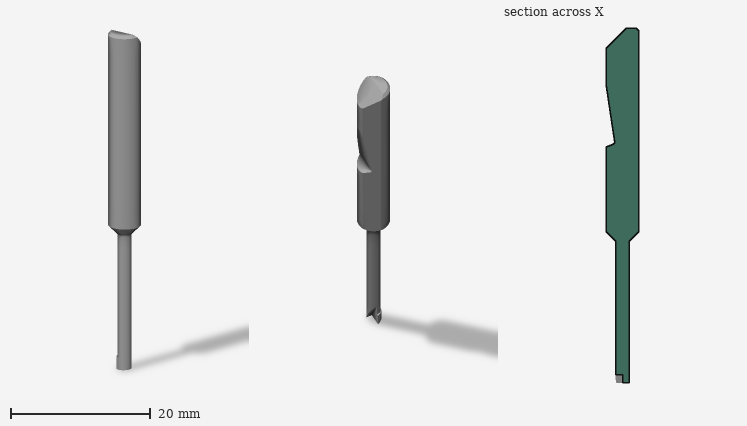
import cadquery as cq

length = 50.8
shank_radius = 2.4
neck_radius = 1.0
shoulder_top = 21.75
shoulder_bottom = shoulder_top - (shank_radius - neck_radius)
end_chamfer = 0.4

flat_distance = 2.0
flat_direction = 144.5

bevel_start_y = -0.5
notch_depth = 1.25
notch_top = 42.8
notch_root = 34.35
notch_bottom = 33.85
notch_root_fillet = 0.3

tooth_reach = 1.3
tooth_height = 1.85
tooth_heel_x = -0.55
tooth_bulge_x = -1.05
tooth_bulge_y = -0.5
end_relief = 0.15

rake_height = 3.5
rake_foot_x = 0.55

cut_span = 15.25


def make_body():
    """Shank, conical shoulder and neck, turned about Z."""
    profile = [
        (0, 0),
        (neck_radius, 0),
        (neck_radius, shoulder_bottom),
        (shank_radius, shoulder_top),
        (shank_radius, length - end_chamfer),
        (shank_radius - end_chamfer, length),
        (0, length),
    ]
    return cq.Workplane("XZ").polyline(profile).close().revolve(360, (0, 0), (0, 1))


def make_tooth():
    """Tooth with a curved flank and a flat heel tangent to the neck."""
    return (
        cq.Workplane("XY")
        .moveTo(0, 0)
        .lineTo(-tooth_reach, 0)
        .threePointArc((tooth_bulge_x, tooth_bulge_y), (tooth_heel_x, -neck_radius))
        .lineTo(0, -neck_radius)
        .close()
        .extrude(tooth_height)
    )


def make_flat_cut():
    """Material outside the shank flat."""
    flat_length = length - shoulder_bottom
    block = cq.Workplane("XY").box(shank_radius, cut_span, flat_length, centered=(False, True, False))
    block = block.translate((flat_distance, 0, shoulder_bottom))
    return block.rotate((0, 0, 0), (0, 0, 1), flat_direction)


def make_bevel_cut():
    """Wedge above the sloping shank end."""
    outer_y = 2 * shank_radius
    outer_z = length - (outer_y - bevel_start_y)
    wedge = [(bevel_start_y, length), (outer_y, length), (outer_y, outer_z)]
    return cq.Workplane("YZ").polyline(wedge).close().extrude(cut_span / 2, both=True)


def make_notch_cut():
    """Clamping notch with a long ramp and a rounded root."""
    outer_y = 2 * shank_radius
    outline = [
        (outer_y, notch_top),
        (shank_radius, notch_top),
        (shank_radius - notch_depth, notch_root),
        (shank_radius, notch_bottom),
        (outer_y, notch_bottom),
    ]
    notch = cq.Workplane("YZ").polyline(outline).close().extrude(cut_span / 2, both=True)
    return notch.edges("|X and <Y").fillet(notch_root_fillet)


def make_rake_cut():
    """Wedge from the cutting face at Y = 0 out to a sloping wall parallel to Y."""
    slope = (rake_foot_x + neck_radius) / rake_height
    outer_x = -2 * neck_radius
    outer_z = (rake_foot_x - outer_x) / slope
    outline = [(rake_foot_x, 0), (outer_x, 0), (outer_x, outer_z)]
    return cq.Workplane("XZ").polyline(outline).close().extrude(-cut_span / 2)


def make_end_relief_cut():
    """Shallow wedge below the end face, which is lowest at the cutting corner."""
    outline = [(-tooth_reach, 0), (neck_radius, 0), (neck_radius, end_relief)]
    return cq.Workplane("XZ").polyline(outline).close().extrude(cut_span / 2, both=True)


result = (
    make_body()
    .union(make_tooth())
    .cut(make_flat_cut())
    .cut(make_bevel_cut())
    .cut(make_notch_cut())
    .cut(make_rake_cut())
    .cut(make_end_relief_cut())
)